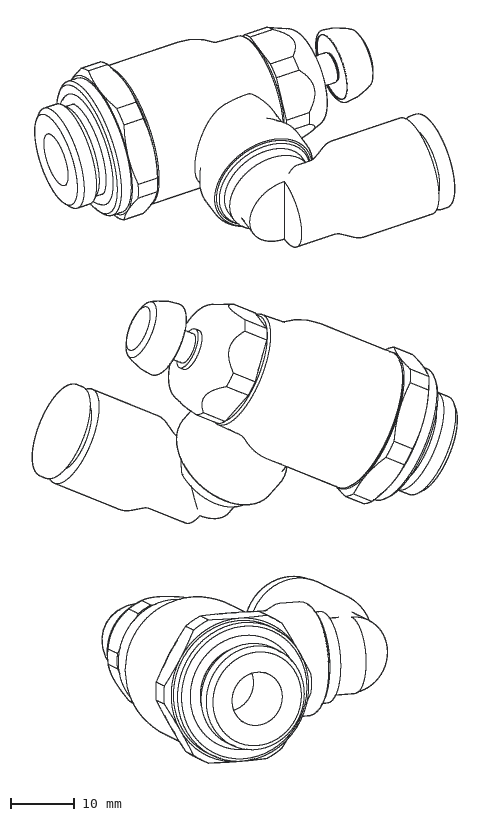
import cadquery as cq
import math


TOTAL_LENGTH = 54.0
BRANCH_Y = 26.75
ARM_X = 26.8

THREAD_RADIUS = 8.3
THREAD_CHAMFER = 0.8
THREAD_TOP = 2.95
RELIEF_START = 3.85
RELIEF_START_RADIUS = 7.55
RELIEF_END = 4.25
NECK_RADIUS = 7.45
SEAL_TUBE_RADIUS = 0.85
SEAL_RING_RADIUS = NECK_RADIUS + SEAL_TUBE_RADIUS
SEAL_Y = 5.6
COLLAR_RADIUS = 11.1
COLLAR_BOTTOM = 5.45
COLLAR_CHAMFER = 0.5
BORE_RADIUS = 4.25

HEX_FLATS = 23.0
HEX_CORNER_RADIUS = 12.55
HEX_BOTTOM = 7.65
HEX_TOP = 12.15
HEX_CHAMFER_HEIGHT = 0.55

BODY_RADIUS = 11.45
BODY_BOTTOM = 12.4
BODY_FOOT_INSET = 0.3
SHOULDER_START = 25.6
SHOULDER_END = 30.45
SHOULDER_END_RADIUS = 9.9
SLEEVE_BOTTOM = 31.9
SLEEVE_BOTTOM_RADIUS = 9.5
SLEEVE_TOP = 35.7
SLEEVE_TOP_RADIUS = 9.35
SLEEVE_CHAMFER = 0.4

NUT_FLATS = 17.15
NUT_CORNER_RADIUS = 9.3
NUT_BOTTOM = 35.95
NUT_GAP_RADIUS = 7.95
DOME_START = 39.95
DOME_MIDDLE = (8.6, 41.75)
DOME_END = (8.1, 43.05)
DOME_EDGE_MIDDLE = (7.7, 43.8)
NUT_TOP = 44.3
NUT_TOP_RADIUS = 6.85

STEM_COLLAR_RADIUS = 3.3
STEM_COLLAR_TOP = 45.0
STEM_RADIUS = 2.5
STEM_TOP = 48.35
STEM_CHAMFER = 0.2
KNOB_BOTTOM = 48.55
KNOB_RIM = 49.1
KNOB_RADIUS = 6.0
KNOB_LIP_RADIUS = 5.5
KNOB_RECESS_RADIUS = 5.35
KNOB_RECESS_DEPTH = 0.15
KNOB_SIDE_MIDDLE = (5.6, 51.45)
KNOB_SHOULDER = (4.7, 53.45)
KNOB_TOP_RADIUS = 3.65

BRANCH_RADIUS = 8.05
BRANCH_FLARE_START = 13.0
BRANCH_FLARE_END = (13.5, 8.2)
CAP_RADIUS = 9.0
CAP_CONE_END = (14.9, 8.9)
CAP_START = 15.3
CAP_END = 18.65
CAP_FACE = 19.45
CAP_EDGE_RADIUS = 8.6
LIP_OUTER_RADIUS = 8.25
LIP_INNER_RADIUS = 8.0
LIP_END = 19.85
SWIVEL_START = 20.2
SWIVEL_RADIUS = 7.25
SWIVEL_END = 22.05
ELBOW_ROUND = 0.45

ELBOW_RADIUS = 6.1
ARM_FLARE_START = 33.5
ARM_FLARE_MIDDLE = (6.25, 34.3)
ARM_CONE_START = (6.55, 34.9)
ARM_CONE_END = (7.65, 36.85)
ARM_SHOULDER_MIDDLE = (7.95, 37.55)
ARM_RADIUS = 8.0
ARM_SHOULDER_END = 38.35
ARM_TOP = 49.95
SLEEVE_NECK_RADIUS = 5.65
FLANGE_RADIUS = 7.8
FLANGE_BOTTOM = 51.25
FLANGE_TOP = 53.05
FLANGE_ROUND = 0.45


def spin_about_y(profile):
    """Revolve a closed (radius, y) profile about the Y axis."""
    return profile.close().revolve(360, (0, 0, 0), (0, 1, 0))


def hexagon(flats, bottom, top):
    """Hexagonal bar along Y with two flats facing +Z and -Z."""
    corner_diameter = flats / math.cos(math.pi / 6)
    bar = cq.Workplane("XZ", origin=(0, bottom, 0)).polygon(6, corner_diameter)
    return bar.extrude(bottom - top)


def threaded_end():
    profile = (
        cq.Workplane("XY")
        .moveTo(0, 0)
        .lineTo(THREAD_RADIUS - THREAD_CHAMFER, 0)
        .lineTo(THREAD_RADIUS, THREAD_CHAMFER)
        .lineTo(THREAD_RADIUS, THREAD_TOP)
        .lineTo(RELIEF_START_RADIUS, RELIEF_START)
        .lineTo(NECK_RADIUS, RELIEF_END)
        .lineTo(NECK_RADIUS, COLLAR_BOTTOM)
        .lineTo(COLLAR_RADIUS - COLLAR_CHAMFER, COLLAR_BOTTOM)
        .lineTo(COLLAR_RADIUS, COLLAR_BOTTOM + COLLAR_CHAMFER)
        .lineTo(COLLAR_RADIUS, HEX_BOTTOM)
        .lineTo(0, HEX_BOTTOM)
    )
    seal = (
        cq.Workplane("XY")
        .center(SEAL_RING_RADIUS, SEAL_Y)
        .circle(SEAL_TUBE_RADIUS)
        .revolve(360, (-SEAL_RING_RADIUS, 0, 0), (-SEAL_RING_RADIUS, 1, 0))
    )
    return spin_about_y(profile).union(seal)


def mounting_hex():
    flat_radius = HEX_FLATS / 2
    envelope = (
        cq.Workplane("XY")
        .moveTo(0, HEX_BOTTOM)
        .lineTo(flat_radius, HEX_BOTTOM)
        .lineTo(HEX_CORNER_RADIUS, HEX_BOTTOM + HEX_CHAMFER_HEIGHT)
        .lineTo(HEX_CORNER_RADIUS, HEX_TOP - HEX_CHAMFER_HEIGHT)
        .lineTo(flat_radius, HEX_TOP)
        .lineTo(0, HEX_TOP)
    )
    return hexagon(HEX_FLATS, HEX_BOTTOM, HEX_TOP).intersect(spin_about_y(envelope))


def main_body():
    profile = (
        cq.Workplane("XY")
        .moveTo(0, HEX_TOP)
        .lineTo(BODY_RADIUS - BODY_FOOT_INSET, HEX_TOP)
        .lineTo(BODY_RADIUS, BODY_BOTTOM)
        .lineTo(BODY_RADIUS, SHOULDER_START)
        .tangentArcPoint((SHOULDER_END_RADIUS, SHOULDER_END), relative=False)
        .tangentArcPoint((SLEEVE_BOTTOM_RADIUS, SLEEVE_BOTTOM), relative=False)
        .lineTo(SLEEVE_TOP_RADIUS, SLEEVE_TOP - SLEEVE_CHAMFER)
        .lineTo(SLEEVE_TOP_RADIUS - SLEEVE_CHAMFER, SLEEVE_TOP)
        .lineTo(NUT_GAP_RADIUS, SLEEVE_TOP)
        .lineTo(NUT_GAP_RADIUS, NUT_BOTTOM)
        .lineTo(0, NUT_BOTTOM)
    )
    return spin_about_y(profile)


def lock_nut():
    envelope = (
        cq.Workplane("XY")
        .moveTo(0, NUT_BOTTOM)
        .lineTo(NUT_CORNER_RADIUS, NUT_BOTTOM)
        .lineTo(NUT_CORNER_RADIUS, DOME_START)
        .threePointArc(DOME_MIDDLE, DOME_END)
        .threePointArc(DOME_EDGE_MIDDLE, (NUT_TOP_RADIUS, NUT_TOP))
        .lineTo(0, NUT_TOP)
    )
    return hexagon(NUT_FLATS, NUT_BOTTOM, NUT_TOP).intersect(spin_about_y(envelope))


def stem_and_knob():
    profile = (
        cq.Workplane("XY")
        .moveTo(0, NUT_TOP)
        .lineTo(STEM_COLLAR_RADIUS, NUT_TOP)
        .lineTo(STEM_COLLAR_RADIUS, STEM_COLLAR_TOP)
        .lineTo(STEM_RADIUS, STEM_COLLAR_TOP)
        .lineTo(STEM_RADIUS, STEM_TOP)
        .lineTo(STEM_RADIUS - STEM_CHAMFER, KNOB_BOTTOM)
        .lineTo(STEM_RADIUS - STEM_CHAMFER, KNOB_BOTTOM + KNOB_RECESS_DEPTH)
        .lineTo(KNOB_RECESS_RADIUS, KNOB_BOTTOM + KNOB_RECESS_DEPTH)
        .lineTo(KNOB_RECESS_RADIUS, KNOB_BOTTOM)
        .lineTo(KNOB_LIP_RADIUS, KNOB_BOTTOM)
        .tangentArcPoint((KNOB_RADIUS, KNOB_RIM), relative=False)
        .threePointArc(KNOB_SIDE_MIDDLE, KNOB_SHOULDER)
        .lineTo(KNOB_TOP_RADIUS, TOTAL_LENGTH)
        .lineTo(0, TOTAL_LENGTH)
    )
    return spin_about_y(profile)


def branch():
    """Branch socket and swivel along X, as an (x, radius) profile about the branch axis."""
    profile = (
        cq.Workplane("XY", origin=(0, BRANCH_Y, 0))
        .moveTo(0, 0)
        .lineTo(0, BRANCH_RADIUS)
        .lineTo(BRANCH_FLARE_START, BRANCH_RADIUS)
        .tangentArcPoint(BRANCH_FLARE_END, relative=False)
        .lineTo(*CAP_CONE_END)
        .tangentArcPoint((CAP_START, CAP_RADIUS), relative=False)
        .lineTo(CAP_END, CAP_RADIUS)
        .tangentArcPoint((CAP_FACE, CAP_EDGE_RADIUS), relative=False)
        .lineTo(CAP_FACE, LIP_OUTER_RADIUS)
        .lineTo(LIP_END, LIP_INNER_RADIUS)
        .lineTo(SWIVEL_START, SWIVEL_RADIUS)
        .lineTo(SWIVEL_END, SWIVEL_RADIUS)
        .lineTo(SWIVEL_END, ELBOW_RADIUS + ELBOW_ROUND)
        .tangentArcPoint((SWIVEL_END + ELBOW_ROUND, ELBOW_RADIUS), relative=False)
        .lineTo(ARM_X, ELBOW_RADIUS)
        .lineTo(ARM_X, 0)
        .close()
    )
    return profile.revolve(360, (0, 0, 0), (1, 0, 0))


def tube_arm():
    profile = (
        cq.Workplane("XY")
        .moveTo(0, BRANCH_Y)
        .lineTo(ELBOW_RADIUS, BRANCH_Y)
        .lineTo(ELBOW_RADIUS, ARM_FLARE_START)
        .threePointArc(ARM_FLARE_MIDDLE, ARM_CONE_START)
        .lineTo(*ARM_CONE_END)
        .threePointArc(ARM_SHOULDER_MIDDLE, (ARM_RADIUS, ARM_SHOULDER_END))
        .lineTo(ARM_RADIUS, ARM_TOP)
        .lineTo(SLEEVE_NECK_RADIUS, ARM_TOP)
        .lineTo(SLEEVE_NECK_RADIUS, FLANGE_BOTTOM)
        .lineTo(0, FLANGE_BOTTOM)
    )
    flange = (
        cq.Workplane("XZ", origin=(0, FLANGE_BOTTOM, 0))
        .circle(FLANGE_RADIUS)
        .extrude(FLANGE_BOTTOM - FLANGE_TOP)
        .edges()
        .fillet(FLANGE_ROUND)
    )
    return spin_about_y(profile).union(flange).translate((ARM_X, 0, 0))


def bore():
    """Blind inlet bore, from the threaded end to the top of the mounting hexagon."""
    return cq.Workplane("XZ").circle(BORE_RADIUS).extrude(-HEX_TOP)


result = (
    threaded_end()
    .union(mounting_hex())
    .union(main_body())
    .union(lock_nut())
    .union(stem_and_knob())
    .union(branch())
    .union(tube_arm())
    .cut(bore())
)